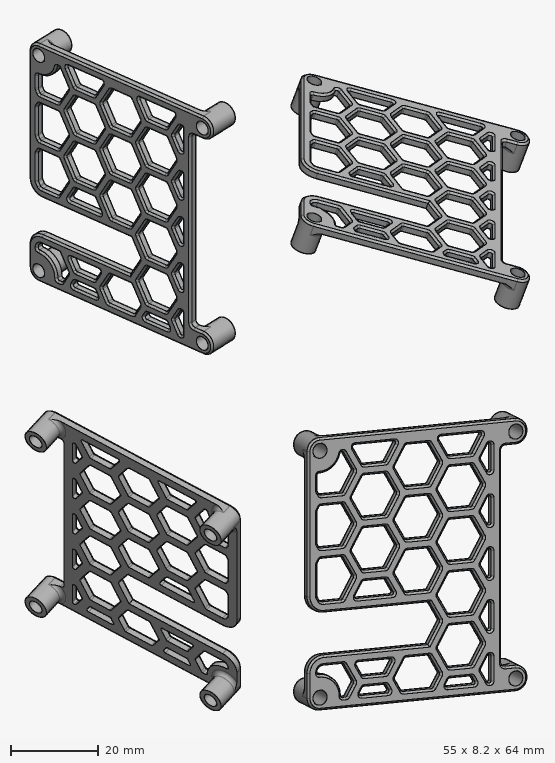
import cadquery as cq
import math

boss_pitch_x = 48.95
boss_pitch_z = 58.0
boss_diameter = 6.0
hole_diameter = 3.5
boss_length = 8.2
boss_flare = 1.0

plate_thickness = 2.0
right_edge = 20.9
front_chamfer = 0.5
ear_corner_radius = 1.0
slot_corner_radius = 4.0

slot_top = -9.1
slot_height = 10.05

hex_flats = 10.0
web = 2.4
hex_center_z = -1.4
border = 2.4
boss_clearance = 5.3
cell_corner_radius = 0.48
side_columns = 2
side_rows = 3
tall_top_cell = (-2, 2)
tall_bottom_cell = (-2, 0)

boss_radius = boss_diameter / 2
boss_x = boss_pitch_x / 2
boss_z = boss_pitch_z / 2
left = -boss_x - boss_radius
top = boss_z + boss_radius
slot_bottom = slot_top - slot_height
boss_centers = [(x, z) for x in (-boss_x, boss_x) for z in (-boss_z, boss_z)]

row_pitch = hex_flats + web
column_pitch = row_pitch * math.sqrt(3) / 2
hex_apex = hex_flats / math.sqrt(3)
slope = math.sqrt(3)


def block(x0, x1, z0, z1):
    """Plate-thick block between two X and two Z limits."""
    return (
        cq.Workplane("XZ")
        .moveTo(x0, z0)
        .lineTo(x1, z0)
        .lineTo(x1, z1)
        .lineTo(x0, z1)
        .close()
        .extrude(-plate_thickness)
    )


def discs(centers, radius, length):
    """Round bars along Y that start on the front face."""
    return cq.Workplane("XZ").pushPoints(centers).circle(radius).extrude(-length)


def cell(x, z, extra_up=0.0, extra_down=0.0):
    """Hexagonal cell; the extras move its flats outward along the slanted sides."""
    upper = hex_flats / 2 + extra_up
    lower = hex_flats / 2 + extra_down
    half_top = hex_apex - upper / slope
    half_bottom = hex_apex - lower / slope
    points = [
        (x - hex_apex, z),
        (x - half_bottom, z - lower),
        (x + half_bottom, z - lower),
        (x + hex_apex, z),
        (x + half_top, z + upper),
        (x - half_top, z + upper),
    ]
    return cq.Workplane("XZ").polyline(points).close().extrude(-plate_thickness)


def slot():
    """Slot whose closed end follows the slanted sides of a honeycomb cell."""
    apex_z = hex_center_z - row_pitch
    points = [
        (left, slot_top),
        (hex_apex - (slot_top - apex_z) / slope, slot_top),
        (hex_apex, apex_z),
        (hex_apex - (apex_z - slot_bottom) / slope, slot_bottom),
        (left, slot_bottom),
    ]
    cutter = cq.Workplane("XZ").polyline(points).close().extrude(-plate_thickness)
    return cutter.edges("|Y and >X").fillet(cell_corner_radius)


def plate_outline():
    """Solid plate with two round ears on the right and the slot on the left."""
    plate = block(left, boss_x, -boss_z, boss_z)
    plate = plate.union(block(-boss_x, boss_x, -top, top))
    ear_inner_z = boss_z - boss_radius
    notch = block(right_edge, boss_x, -ear_inner_z, ear_inner_z)
    notch = notch.edges("|Y and <X").fillet(ear_corner_radius)
    plate = plate.cut(notch)
    plate = plate.union(discs(boss_centers, boss_radius, plate_thickness))
    plate = plate.cut(slot())
    mouth = cq.selectors.BoxSelector(
        (left - border, 0, slot_bottom - border),
        (left + border, plate_thickness, slot_top + border),
    )
    return plate.edges("|Y").edges(mouth).fillet(slot_corner_radius)


def cell_regions():
    """Areas inside the border where cells may open: upper field, lower arm and right side."""
    x0 = left + border
    x1 = right_edge - border
    z1 = top - border
    inner_radius = slot_corner_radius - border
    upper = block(x0, column_pitch, slot_top + border, z1)
    upper = upper.edges("|Y and <X and <Z").fillet(inner_radius)
    lower = block(x0, column_pitch, -z1, slot_bottom - border)
    lower = lower.edges("|Y and <X and >Z").fillet(inner_radius)
    side = block(0, x1, -z1, z1)
    keep_clear = discs(boss_centers, boss_clearance, plate_thickness)
    return [region.cut(keep_clear) for region in (upper, lower, side)]


def region_for(column, z, regions):
    """Region that a cell belongs to: columns right of the slot run the full height."""
    upper, lower, side = regions
    if column > 0:
        return side
    if z > (slot_top + slot_bottom) / 2:
        return upper
    return lower


def windows():
    """Every honeycomb opening, clipped to its region, with rounded corners."""
    regions = cell_regions()
    openings = []
    for column in range(-side_columns, side_columns + 1):
        x = column * column_pitch
        for row in range(-side_rows, side_rows + 1):
            z = hex_center_z + row * row_pitch
            if column % 2:
                z += row_pitch / 2
            extra_up = web / 2 if (column, row) == tall_top_cell else 0.0
            extra_down = web / 2 if (column, row) == tall_bottom_cell else 0.0
            region = region_for(column, z, regions)
            opening = region.intersect(cell(x, z, extra_up, extra_down))
            if opening.solids().size() > 0:
                openings.append(opening.edges("|Y").fillet(cell_corner_radius))
    return openings


def boss_flare_ring(x, z):
    """Concave skirt behind the plate that blends a boss into its back face."""
    outer = boss_radius + boss_flare
    crest = plate_thickness + boss_flare
    arc_inset = boss_flare * (1 - math.sqrt(0.5))
    skirt = (
        cq.Workplane("XY")
        .moveTo(0, plate_thickness)
        .lineTo(outer, plate_thickness)
        .threePointArc(
            (boss_radius + arc_inset, plate_thickness + arc_inset),
            (boss_radius, crest),
        )
        .lineTo(0, crest)
        .close()
        .revolve(360, (0, 0, 0), (0, 1, 0))
    )
    return skirt.translate((x, 0, z))


def build_part():
    """Chamfered honeycomb plate with four flared, drilled bosses on its back."""
    outline = plate_outline()
    plate = outline
    for window in windows():
        plate = plate.cut(window)
    part = plate.faces("<Y").edges().chamfer(front_chamfer)

    behind_plate = outline.translate((0, plate_thickness, 0))
    for x, z in boss_centers:
        part = part.union(boss_flare_ring(x, z).intersect(behind_plate))

    bosses = discs(boss_centers, boss_radius, boss_length - plate_thickness)
    part = part.union(bosses.translate((0, plate_thickness, 0)))
    return part.cut(discs(boss_centers, hole_diameter / 2, boss_length))


result = build_part()